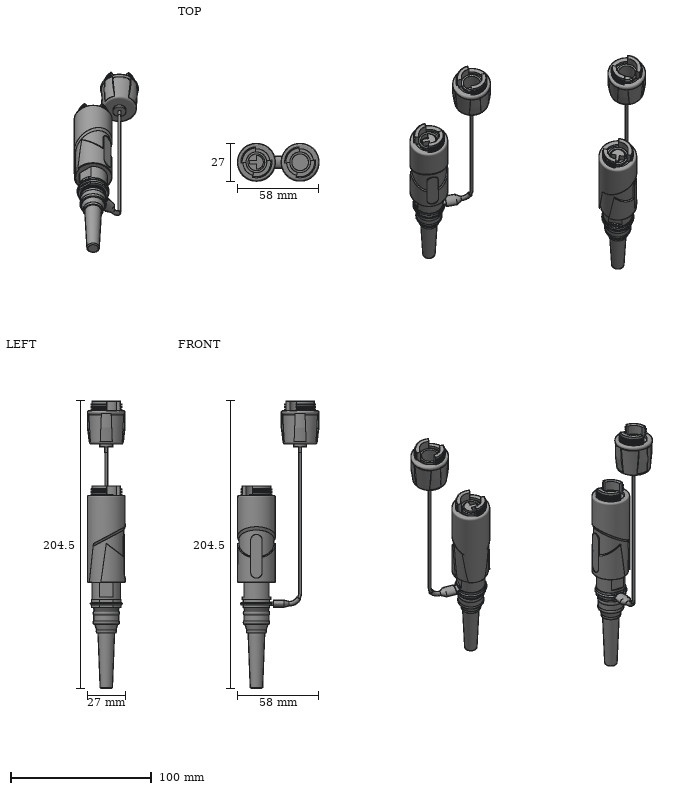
import cadquery as cq
import math

TOTAL_HEIGHT = 204.5
BARREL_RADIUS = 13.5
CAP_OFFSET = 31.0
PLUG_TOP = 144.1

COUPLING_HEIGHT = 6.7
COUPLING_RADIUS = 10.2
THREAD_RADIUS = 11.0
THREAD_COUNT = 3
THREAD_PITCH = 1.8
THREAD_WIDTH = 1.2
THREAD_ROOT_OVERLAP = 0.5
FIRST_THREAD_DEPTH = 2.5
SOCKET_RADIUS = 7.4
SOCKET_DEPTH = COUPLING_HEIGHT + 0.2
BORE_RADIUS = 6.0
WINDOW_RADIUS = 11.5
WINDOW_GROOVE_DEPTH = COUPLING_HEIGHT + 2.0
WINDOW_GROOVE_RADIUS = 9.6
FRONT_WINDOW = (182.0, 255.0)
BACK_WINDOW = (8.0, 94.0)

CAP_COLLAR_Z = TOTAL_HEIGHT - COUPLING_HEIGHT
CAP_FLANGE_RADIUS = BARREL_RADIUS
CAP_FLANGE_BOTTOM = 194.6
CAP_TOP_RADIUS = 12.9
CAP_BOTTOM_RADIUS = 12.0
CAP_BOTTOM = 173.8
CAP_ROUND_HEIGHT = 1.8
CAP_ROUND_WIDTH = 1.5
CAP_BORE_FLOOR = 184.0
BOSS_RADIUS = 4.7
BOSS_BOTTOM = 172.0
GRIP_COUNT = 4
GRIP_TOP_WIDTH = 7.0
GRIP_BOTTOM_WIDTH = 8.5
GRIP_BEND_Z = 185.6
GRIP_TOP = 195.5
GRIP_RADIUS = CAP_FLANGE_RADIUS
GRIP_BOTTOM_RADIUS = 12.3

BARREL_TOP = PLUG_TOP - COUPLING_HEIGHT
BARREL_BOTTOM = 75.5
BARREL_TOP_ROUND = 1.2
BARREL_BOTTOM_CHAMFER = 0.5
RECESS_RADIUS = 12.5
RAMP_FRONT_Z = 115.1
RECESS_BACK_Y = 9.2
RECESS_BACK_Z = 103.0
RECESS_FOOT_Y = 12.0
SHELL_PEAK_Y = 0.0
SHELL_PEAK_Z = 103.2
SHELL_FRONT_Z = 92.8
SHELL_FOOT_Y = 3.9
RAMP_HEIGHT = 1.8
PAD_WIDTH = 8.2
PAD_TOP = 109.5
PAD_BOTTOM = 78.5
PAD_DISTANCE = 12.9
PAD_ROOT_DISTANCE = 10.2
PLUG_BORE_FLOOR = 132.9
POST_RADIUS = 5.0
POST_TOP = 138.0
POST_RIB_WIDTH = 2.5

NECK_RADIUS = 10.2
NECK_FLAT = 9.0
NECK_FLAT_BOTTOM = 65.2
RING_TOP = 63.2
RING_BOTTOM = 57.5
RING_SEAT_RADIUS = 8.5
SLEEVE_RADIUS = 9.0
SLEEVE_BEAD_RADIUS = 9.5
SLEEVE_GROOVE_RADIUS = 8.5
SLEEVE_GROOVE_TOP = 56.5
UPPER_BEAD_TOP = 55.0
UPPER_BEAD_BOTTOM = 52.3
LOWER_BEAD_TOP = 48.0
LOWER_BEAD_BOTTOM = 45.8
CONE_TOP = 45.4
CONE_TOP_RADIUS = 8.2
CONE_BOTTOM_RADIUS = 7.0
TAIL_BEAD_TOP = 41.5
TAIL_BEAD_BOTTOM = 39.5
TAIL_BEAD_END_RADIUS = 6.7
TAIL_BEAD_RADIUS = 7.2
TAIL_TOP_RADIUS = 6.0
TAIL_TAPER_START = 37.5
TAIL_BOTTOM_RADIUS = 4.5
TAIL_CHAMFER = 0.8

RING_RADIUS = 10.6
RING_FLAT = 9.5
RING_BEAD_RADIUS = 11.5
RING_BEAD_HEIGHT = 2.0
RING_MID = (RING_TOP + RING_BOTTOM) / 2
STEM_WIDTH = 6.1
STEM_HEIGHT = 2.5
ARM_START = 12.0
ARM_END = 19.6
ARM_WIDTH = 8.8
ARM_HEIGHT = 5.1
ELBOW_START = 23.3
ELBOW_ROD_RADIUS = 1.6
ELBOW_SLEEVE_ANGLE = 60.0
ROD_RADIUS = 1.06
ROD_END_RADIUS = 1.12
ROD_END_BOTTOM = 167.9


def cylinder(radius, bottom, top):
    return cq.Workplane("XY").workplane(offset=bottom).circle(radius).extrude(top - bottom)


def side_flats(distance, bottom, top):
    """Two blocks that leave flats facing -X and +X at the given distance."""
    depth = BARREL_RADIUS
    blocks = cq.Workplane("XY").workplane(offset=bottom)
    blocks = blocks.pushPoints([(-distance - depth / 2, 0), (distance + depth / 2, 0)])
    return blocks.rect(depth, 4 * depth).extrude(top - bottom)


def thread_ridge(middle):
    half = THREAD_WIDTH / 2
    root = COUPLING_RADIUS - THREAD_ROOT_OVERLAP
    profile = [(root, middle - half), (root, middle + half),
               (THREAD_RADIUS, middle + half / 2), (THREAD_RADIUS, middle - half / 2)]
    return cq.Workplane("XZ").polyline(profile).close().revolve(360, (0, 0), (0, 1))


def sector(outer, angles, bottom, top):
    """Part of a ring from the socket wall to the outer radius, between two angles."""
    def at(radius, angle):
        return (radius * math.cos(math.radians(angle)), radius * math.sin(math.radians(angle)))

    start, end = angles
    middle = (start + end) / 2
    outline = (
        cq.Workplane("XY").workplane(offset=bottom)
        .moveTo(*at(SOCKET_RADIUS, start))
        .lineTo(*at(outer, start))
        .threePointArc(at(outer, middle), at(outer, end))
        .lineTo(*at(SOCKET_RADIUS, end))
        .threePointArc(at(SOCKET_RADIUS, middle), at(SOCKET_RADIUS, start))
        .close()
    )
    return outline.extrude(top - bottom)


def window(top, angles):
    """Opening through the sleeve wall, with a narrower groove in the face below it."""
    opening = sector(WINDOW_RADIUS, angles, top - COUPLING_HEIGHT, top)
    return opening.union(sector(WINDOW_GROOVE_RADIUS, angles, top - WINDOW_GROOVE_DEPTH, top))


def add_coupling(body, top, bore_floor):
    """Put the threaded, windowed sleeve with its stepped bore on a body's upper face."""
    body = body.union(cylinder(COUPLING_RADIUS, top - COUPLING_HEIGHT, top))
    for turn in range(THREAD_COUNT):
        body = body.union(thread_ridge(top - FIRST_THREAD_DEPTH - turn * THREAD_PITCH))
    body = body.cut(cylinder(SOCKET_RADIUS, top - SOCKET_DEPTH, top))
    body = body.cut(cylinder(BORE_RADIUS, bore_floor, top))
    for angles in (FRONT_WINDOW, BACK_WINDOW):
        body = body.cut(window(top, angles))
    return body


def barrel_recess():
    """Side-profile strip of the barrel that drops to the recess radius."""
    reach = BARREL_RADIUS
    outline = [
        (-reach, RAMP_FRONT_Z),
        (RECESS_BACK_Y, RECESS_BACK_Z),
        (RECESS_FOOT_Y, BARREL_BOTTOM),
        (SHELL_FOOT_Y, BARREL_BOTTOM),
        (SHELL_PEAK_Y, SHELL_PEAK_Z),
        (-reach, SHELL_FRONT_Z),
    ]
    strip = cq.Workplane("YZ").polyline(outline).close().extrude(reach, both=True)
    return strip.cut(cylinder(RECESS_RADIUS, BARREL_BOTTOM, BARREL_TOP)).cut(recess_ramp())


def recess_ramp():
    """Sloped step between the full barrel and the recess, along the tilted upper edge."""
    rise = RAMP_FRONT_Z - RECESS_BACK_Z
    run = RECESS_BACK_Y + BARREL_RADIUS
    tilt = math.atan2(rise, run)
    axis_z = RAMP_FRONT_Z - BARREL_RADIUS * math.tan(tilt)
    upper = cq.Plane(origin=(0, 0, axis_z), xDir=(1, 0, 0), normal=(0, math.sin(tilt), math.cos(tilt)))
    stretch = 1 / math.cos(tilt)
    drop = RAMP_HEIGHT * math.cos(tilt)
    shift = RAMP_HEIGHT * math.sin(tilt)
    return (
        cq.Workplane(upper)
        .ellipse(BARREL_RADIUS, BARREL_RADIUS * stretch)
        .workplane(offset=-drop)
        .center(0, shift)
        .ellipse(RECESS_RADIUS, RECESS_RADIUS * stretch)
        .loft(ruled=True)
    )


def front_slot(near, far):
    """Upright round-ended block on the front of the barrel, between two distances from the axis."""
    length = PAD_TOP - PAD_BOTTOM
    slot = cq.Workplane("XZ").workplane(offset=near).center(0, (PAD_TOP + PAD_BOTTOM) / 2)
    return slot.slot2D(length, PAD_WIDTH, 90).extrude(far - near)


def make_barrel():
    barrel = cylinder(BARREL_RADIUS, BARREL_BOTTOM, BARREL_TOP)
    barrel = barrel.faces(">Z").edges().fillet(BARREL_TOP_ROUND)
    barrel = barrel.faces("<Z").edges().chamfer(BARREL_BOTTOM_CHAMFER)
    barrel = barrel.cut(barrel_recess())
    barrel = barrel.cut(front_slot(PAD_DISTANCE, 2 * BARREL_RADIUS))
    return barrel.union(front_slot(PAD_ROOT_DISTANCE, PAD_DISTANCE))


def make_neck_and_sleeve():
    """Turned neck, ring seat, beaded sleeve and tapered tail below the barrel."""
    upper_bead_mid = (UPPER_BEAD_TOP + UPPER_BEAD_BOTTOM) / 2
    lower_bead_mid = (LOWER_BEAD_TOP + LOWER_BEAD_BOTTOM) / 2
    tail_bead_mid = (TAIL_BEAD_TOP + TAIL_BEAD_BOTTOM) / 2
    profile = (
        cq.Workplane("XZ")
        .moveTo(0, BARREL_BOTTOM)
        .lineTo(NECK_RADIUS, BARREL_BOTTOM)
        .lineTo(NECK_RADIUS, RING_TOP)
        .lineTo(RING_SEAT_RADIUS, RING_TOP)
        .lineTo(RING_SEAT_RADIUS, RING_BOTTOM)
        .lineTo(SLEEVE_RADIUS, RING_BOTTOM)
        .lineTo(SLEEVE_RADIUS, SLEEVE_GROOVE_TOP)
        .lineTo(SLEEVE_GROOVE_RADIUS, SLEEVE_GROOVE_TOP)
        .lineTo(SLEEVE_GROOVE_RADIUS, UPPER_BEAD_TOP)
        .lineTo(SLEEVE_RADIUS, UPPER_BEAD_TOP)
        .threePointArc((SLEEVE_BEAD_RADIUS, upper_bead_mid), (SLEEVE_RADIUS, UPPER_BEAD_BOTTOM))
        .lineTo(SLEEVE_RADIUS, LOWER_BEAD_TOP)
        .threePointArc((SLEEVE_BEAD_RADIUS, lower_bead_mid), (SLEEVE_RADIUS, LOWER_BEAD_BOTTOM))
        .lineTo(CONE_TOP_RADIUS, CONE_TOP)
        .lineTo(CONE_BOTTOM_RADIUS, TAIL_BEAD_TOP)
        .threePointArc((TAIL_BEAD_RADIUS, tail_bead_mid), (TAIL_BEAD_END_RADIUS, TAIL_BEAD_BOTTOM))
        .lineTo(TAIL_TOP_RADIUS, TAIL_BEAD_BOTTOM)
        .lineTo(TAIL_TOP_RADIUS, TAIL_TAPER_START)
        .lineTo(TAIL_BOTTOM_RADIUS, TAIL_CHAMFER)
        .lineTo(TAIL_BOTTOM_RADIUS - TAIL_CHAMFER, 0)
        .lineTo(0, 0)
        .close()
    )
    neck = profile.revolve(360, (0, 0), (0, 1))
    return neck.cut(side_flats(NECK_FLAT, NECK_FLAT_BOTTOM, BARREL_BOTTOM))


def make_contact_post():
    """Half-round post in the plug bore, with a rib reaching toward -X."""
    post = cylinder(POST_RADIUS, PLUG_BORE_FLOOR, POST_TOP)
    height = POST_TOP - PLUG_BORE_FLOOR
    slot_width = POST_RADIUS - POST_RIB_WIDTH / 2
    slot_y = (POST_RADIUS + POST_RIB_WIDTH / 2) / 2
    notches = (
        cq.Workplane("XY").workplane(offset=PLUG_BORE_FLOOR)
        .pushPoints([(-POST_RADIUS / 2, -slot_y), (-POST_RADIUS / 2, slot_y)])
        .rect(POST_RADIUS, slot_width)
        .extrude(height)
    )
    return post.cut(notches)


def make_plug():
    plug = make_barrel().union(make_neck_and_sleeve())
    plug = add_coupling(plug, PLUG_TOP, PLUG_BORE_FLOOR)
    return plug.union(make_contact_post())


def revolved_grip(points):
    """Turn an outline of (radius, z) points around the cap axis."""
    return cq.Workplane("XZ").polyline(points).close().revolve(360, (0, 0), (0, 1))


def grip_rib():
    """Raised rib on the front of the cap, widening downward and tapering in below its bend."""
    bottom = CAP_BOTTOM + CAP_ROUND_HEIGHT
    turned = revolved_grip([
        (0, GRIP_TOP),
        (GRIP_RADIUS, GRIP_TOP),
        (GRIP_RADIUS, GRIP_BEND_Z),
        (GRIP_BOTTOM_RADIUS, bottom),
        (0, bottom),
    ])
    low = GRIP_BOTTOM_WIDTH / 2
    high = GRIP_TOP_WIDTH / 2
    outline = [(-low, bottom), (low, bottom), (high, GRIP_TOP), (-high, GRIP_TOP)]
    wedge = cq.Workplane("XZ").workplane(offset=SOCKET_RADIUS).polyline(outline).close()
    return turned.intersect(wedge.extrude(GRIP_RADIUS))


def make_grip():
    """Tapered cap shell with a rounded lower edge and evenly spaced ribs."""
    bottom_face_radius = CAP_BOTTOM_RADIUS - CAP_ROUND_WIDTH
    slant = math.sqrt(0.5)
    round_middle = (bottom_face_radius + CAP_ROUND_WIDTH * slant,
                    CAP_BOTTOM + CAP_ROUND_HEIGHT * (1 - slant))
    grip = (
        cq.Workplane("XZ")
        .moveTo(0, CAP_FLANGE_BOTTOM)
        .lineTo(CAP_TOP_RADIUS, CAP_FLANGE_BOTTOM)
        .lineTo(CAP_BOTTOM_RADIUS, CAP_BOTTOM + CAP_ROUND_HEIGHT)
        .threePointArc(round_middle, (bottom_face_radius, CAP_BOTTOM))
        .lineTo(0, CAP_BOTTOM)
        .close()
        .revolve(360, (0, 0), (0, 1))
    )
    for index in range(GRIP_COUNT):
        grip = grip.union(grip_rib().rotate((0, 0, 0), (0, 0, 1), index * 360 / GRIP_COUNT))
    return grip


def make_flange():
    """Collar with a full-round rim."""
    half = (CAP_COLLAR_Z - CAP_FLANGE_BOTTOM) / 2
    rim_start = CAP_FLANGE_RADIUS - half
    return (
        cq.Workplane("XZ")
        .moveTo(0, CAP_FLANGE_BOTTOM)
        .lineTo(rim_start, CAP_FLANGE_BOTTOM)
        .threePointArc((CAP_FLANGE_RADIUS, CAP_FLANGE_BOTTOM + half), (rim_start, CAP_COLLAR_Z))
        .lineTo(0, CAP_COLLAR_Z)
        .close()
        .revolve(360, (0, 0), (0, 1))
    )


def make_cap():
    cap = make_grip().union(make_flange()).union(cylinder(BOSS_RADIUS, BOSS_BOTTOM, CAP_BOTTOM))
    cap = add_coupling(cap, TOTAL_HEIGHT, CAP_BORE_FLOOR)
    return cap.translate((CAP_OFFSET, 0, 0))


def make_ring():
    """Flat-sided ring with a pointed bead around its middle."""
    ring = cylinder(RING_RADIUS, RING_BOTTOM, RING_TOP).cut(side_flats(RING_FLAT, RING_BOTTOM, RING_TOP))
    half = RING_BEAD_HEIGHT / 2
    bead = (
        cq.Workplane("XZ")
        .moveTo(RING_SEAT_RADIUS, RING_MID - half)
        .lineTo(RING_RADIUS, RING_MID - half)
        .lineTo(RING_BEAD_RADIUS, RING_MID)
        .lineTo(RING_RADIUS, RING_MID + half)
        .lineTo(RING_SEAT_RADIUS, RING_MID + half)
        .close()
        .revolve(360, (0, 0), (0, 1))
    )
    return ring.union(bead).cut(cylinder(RING_SEAT_RADIUS, RING_BOTTOM, RING_TOP))


def make_arm():
    """Oval arm on the ring, narrowing to the round elbow."""
    stem_length = ARM_START - RING_FLAT
    stem = cq.Workplane("XY").box(stem_length, STEM_WIDTH, STEM_HEIGHT)
    stem = stem.translate((RING_FLAT + stem_length / 2, 0, RING_MID))
    oval = cq.Workplane("YZ").workplane(offset=ARM_START).center(0, RING_MID)
    arm = oval.ellipse(ARM_WIDTH / 2, ARM_HEIGHT / 2).extrude(ARM_END - ARM_START)
    taper = (
        cq.Workplane("YZ").workplane(offset=ARM_END).center(0, RING_MID)
        .ellipse(ARM_WIDTH / 2, ARM_HEIGHT / 2)
        .workplane(offset=ELBOW_START - ARM_END)
        .ellipse(ELBOW_ROD_RADIUS, ELBOW_ROD_RADIUS)
        .loft(ruled=True)
    )
    return stem.union(arm).union(taper)


def bend(radius, angle):
    """Round bar that curves upward from the end of the arm."""
    bend_radius = CAP_OFFSET - ELBOW_START
    start = cq.Workplane("YZ").workplane(offset=ELBOW_START).center(0, RING_MID)
    return start.circle(radius).revolve(angle, (2, bend_radius), (-2, bend_radius))


def make_tether():
    rod_bottom = RING_MID + CAP_OFFSET - ELBOW_START
    elbow = bend(ELBOW_ROD_RADIUS, ELBOW_SLEEVE_ANGLE).union(bend(ROD_RADIUS, 90))
    rod = cylinder(ROD_RADIUS, rod_bottom, ROD_END_BOTTOM)
    rod = rod.union(cylinder(ROD_END_RADIUS, ROD_END_BOTTOM, BOSS_BOTTOM))
    rod = rod.translate((CAP_OFFSET, 0, 0))
    return make_ring().union(make_arm()).union(elbow).union(rod)


plug = make_plug()
cap = make_cap()
tether = make_tether()

result = cq.Compound.makeCompound([*plug.solids().vals(), *cap.solids().vals(), *tether.solids().vals()])